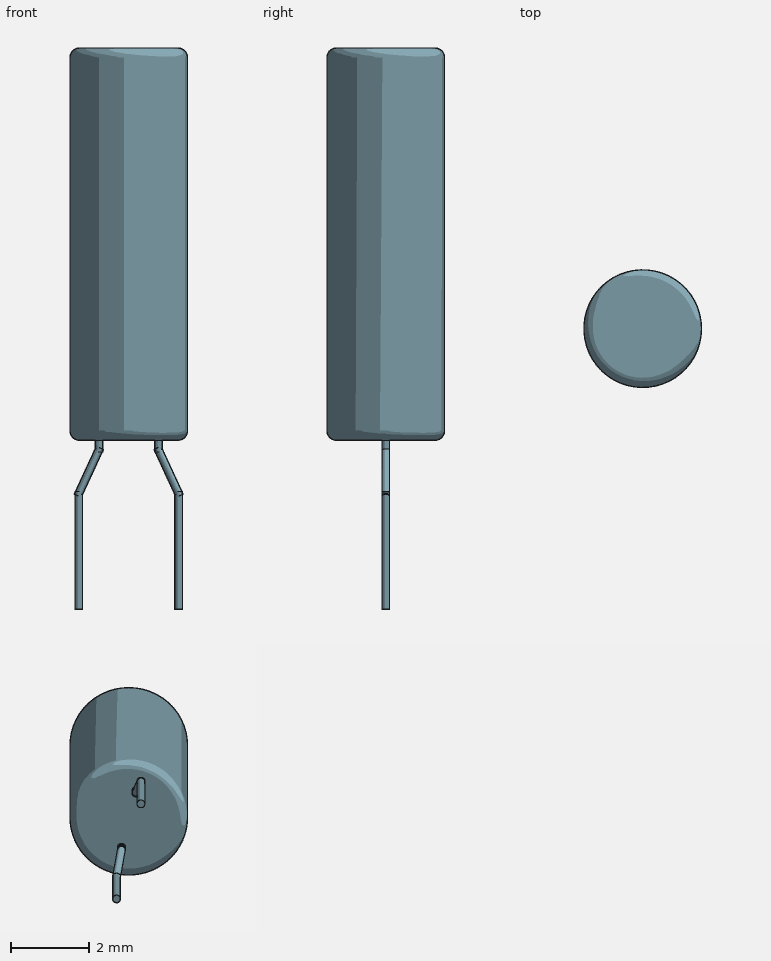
import cadquery as cq

total_height = 14.31
can_diameter = 3.0
can_height = 10.0
edge_radius = 0.25

lead_diameter = 0.2
root_offset = 0.76
tip_offset = 1.27
upper_bend_drop = 0.25
lower_bend_height = 2.95
bend_overlap = 0.06
root_embed = 0.15

can_bottom = total_height - can_height
upper_bend_height = can_bottom - upper_bend_drop


def make_can():
    """Cylindrical can with rounded top and bottom rims."""
    can = cq.Workplane("XY").workplane(offset=can_bottom).circle(can_diameter / 2).extrude(can_height)
    return can.edges().fillet(edge_radius)


def make_wire(start, end):
    """Straight round wire between two points, with square-cut ends."""
    axis = end - start
    wire = cq.Solid.makeCylinder(lead_diameter / 2, axis.Length, start, axis)
    return cq.Workplane(obj=wire)


def make_lead(side):
    """Lead leaving the can, splaying outward, then running straight down."""
    tip = cq.Vector(side * tip_offset, 0, 0)
    lower_bend = cq.Vector(side * tip_offset, 0, lower_bend_height)
    upper_bend = cq.Vector(side * root_offset, 0, upper_bend_height)
    root = cq.Vector(side * root_offset, 0, can_bottom + root_embed)

    up_overlap = cq.Vector(0, 0, bend_overlap)
    splay_overlap = (upper_bend - lower_bend).normalized() * bend_overlap
    tail = make_wire(tip, lower_bend + up_overlap)
    splay = make_wire(lower_bend - splay_overlap, upper_bend + splay_overlap)
    stub = make_wire(upper_bend - up_overlap, root)
    return tail.union(splay).union(stub)


result = make_can()
for side in (-1, 1):
    result = result.union(make_lead(side))